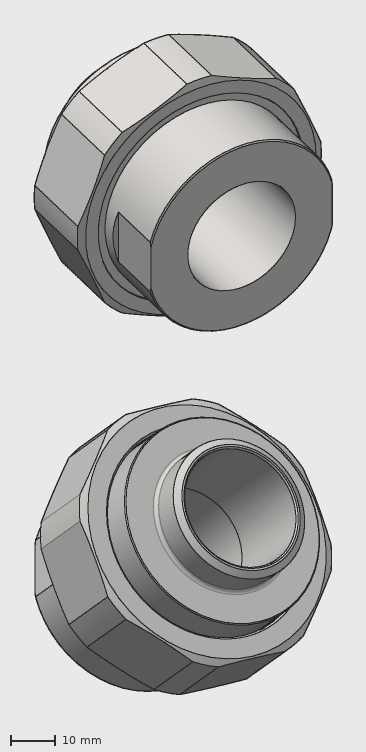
import cadquery as cq
import math

total_length = 54.5
bore_diameter = 28.5

neck_diameter = 33.7
neck_bevel_length = 1.05
neck_bevel_depth = 1.7
mouth_chamfer = 0.4
neck_fillet = 0.9
collar_diameter = 50.0
collar_start = 9.0
collar_chamfer = 0.25
flange_diameter = 54.0
flange_start = 20.05
seat_plane = 26.5

nut_start = 16.5
nut_end = 36.75
nut_corner_diameter = 64.7
nut_across_flats = 61.95
nut_sides = 8
nut_face_diameter = 61.05
nut_bevel_length = 0.7
nut_bore_diameter = 50.5
nut_bore_chamfer = 0.5
thread_diameter = 54.4
thread_setback = 0.65

housing_diameter = collar_diameter
housing_chamfer = 0.3
flat_spacing = 48.05
flat_start = 40.35
flat_runout = 0.85


def disc(diameter, start, end):
    """Cylinder on the X axis from x = start to x = end."""
    return cq.Workplane("YZ", origin=(start, 0, 0)).circle(diameter / 2).extrude(end - start)


def revolve_about_x(points):
    """Solid of revolution of an (x, radius) outline."""
    return cq.Workplane("XY").polyline(points).close().revolve(360, (0, 0), (1, 0))


def make_tailpiece():
    bore_radius = bore_diameter / 2
    neck_radius = neck_diameter / 2
    collar_radius = collar_diameter / 2
    flange_radius = flange_diameter / 2
    profile = (
        cq.Workplane("XY")
        .moveTo(mouth_chamfer, bore_radius)
        .lineTo(0, bore_radius + mouth_chamfer)
        .lineTo(0, neck_radius - neck_bevel_depth)
        .lineTo(neck_bevel_length, neck_radius)
        .lineTo(collar_start - neck_fillet, neck_radius)
        .radiusArc((collar_start, neck_radius + neck_fillet), -neck_fillet)
        .lineTo(collar_start, collar_radius - collar_chamfer)
        .lineTo(collar_start + collar_chamfer, collar_radius)
        .lineTo(flange_start, collar_radius)
        .lineTo(flange_start, flange_radius)
        .lineTo(seat_plane, flange_radius)
        .lineTo(seat_plane, bore_radius)
        .close()
    )
    return profile.revolve(360, (0, 0), (1, 0))


def make_nut():
    half_side_angle = math.pi / nut_sides
    octagon_diameter = nut_across_flats / math.cos(half_side_angle)
    octagon = (
        cq.Workplane("YZ", origin=(nut_start, 0, 0))
        .polygon(nut_sides, octagon_diameter)
        .extrude(nut_end - nut_start)
    )
    corner_radius = nut_corner_diameter / 2
    face_radius = nut_face_diameter / 2
    envelope = revolve_about_x([
        (nut_start, 0),
        (nut_start, face_radius),
        (nut_start + nut_bevel_length, corner_radius),
        (nut_end - nut_bevel_length, corner_radius),
        (nut_end, face_radius),
        (nut_end, 0),
    ])
    bore_radius = nut_bore_diameter / 2
    recess_radius = thread_diameter / 2
    cavity = revolve_about_x([
        (nut_start, 0),
        (nut_start, bore_radius + nut_bore_chamfer),
        (nut_start + nut_bore_chamfer, bore_radius),
        (flange_start, bore_radius),
        (flange_start, recess_radius),
        (nut_end, recess_radius),
        (nut_end, 0),
    ])
    return octagon.intersect(envelope).cut(cavity)


def make_wrench_flat_cutter():
    """Prism that removes material beyond the +Y wrench flat, with a sloped inner end."""
    flat_y = flat_spacing / 2
    outer_y = housing_diameter / 2
    return (
        cq.Workplane("XY")
        .polyline([
            (flat_start, flat_y),
            (total_length, flat_y),
            (total_length, outer_y),
            (flat_start - flat_runout, outer_y),
        ])
        .close()
        .extrude(housing_diameter / 2, both=True)
    )


def make_housing():
    thread_end = nut_end - thread_setback
    thread = disc(thread_diameter, seat_plane, thread_end)
    barrel = disc(housing_diameter, thread_end, total_length).faces(">X").edges().chamfer(housing_chamfer)
    cutter = make_wrench_flat_cutter()
    return (
        thread.union(barrel)
        .cut(cutter)
        .cut(cutter.mirror("XZ"))
        .cut(disc(bore_diameter, seat_plane, total_length))
    )


tailpiece = make_tailpiece()
nut = make_nut()
housing = make_housing()

result = cq.Compound.makeCompound([tailpiece.val(), nut.val(), housing.val()])